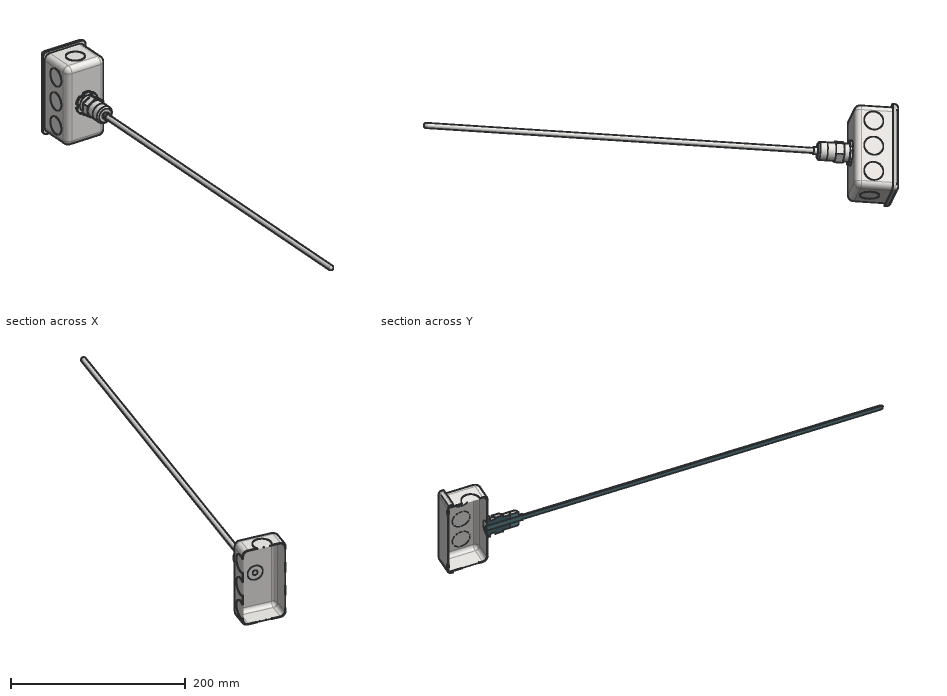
import cadquery as cq
import math

overall_length = 547.83

cover_width = 58.8
cover_height = 106.43
cover_depth = 6.9
cover_thickness = 2.0
cover_end_thickness = 2.35
cover_rise = 0.5
cover_edge_radius = 5.0
screw_hole_diameter = 3.2
screw_hole_offset = 41.7
countersink_diameter = 6.0
countersink_angle = 90

box_width = cover_width - 2 * cover_thickness
box_height = cover_height - 2 * cover_end_thickness
box_back = 50.8
box_wall = 2.0
box_edge_radius = 7.3
box_inner_radius = box_edge_radius - box_wall

knockout_diameter = 22.2
knockout_depth = 0.6
knockout_spacing = 31.0
knockout_x = 29.0

neck_radius = 9.5
flange_thickness = 2.8
flange_radius = 14.5
flange_root_radius = 12.7
lug_count = 6
notch_width = 5.0
body_radius = 10.6
body_length = 6.5
hex_across_flats = 22.4
hex_length = 9.6
rear_body_length = 9.6

nut_length = 10.4
nut_chamfer = 2.0

collar_radius = 4.3
collar_length = 4.7
probe_radius = 6.35 / 2

box_inner_back = box_back - box_wall
flange_start = box_back
flange_end = flange_start + flange_thickness
hex_start = flange_end + body_length
hex_end = hex_start + hex_length
nut_start = hex_end + rear_body_length
nut_end = nut_start + nut_length
collar_end = nut_end + collar_length


def block(x_start, x_end, width, height):
    """A rectangular block centred on the axis."""
    return cq.Workplane("XY").box(x_end - x_start, width, height).translate(((x_start + x_end) / 2, 0, 0))


def cylinder(x_start, x_end, radius):
    """A round bar on the axis, turned from its half profile."""
    profile = cq.Workplane("XY").moveTo(x_start, 0).lineTo(x_start, -radius).lineTo(x_end, -radius)
    return profile.lineTo(x_end, 0).close().revolve(360, (0, 0, 0), (1, 0, 0))


def make_cover():
    """A rounded cap with two countersunk screw holes and a recess that takes the box's open end."""
    shell = block(0, cover_depth, cover_width, cover_height)
    shell = shell.edges("|X or <X").fillet(cover_edge_radius)
    cavity = block(cover_thickness, cover_depth, box_width, box_height).edges("|X").fillet(box_edge_radius)
    cavity = cavity.translate((0, 0, -cover_rise))
    cover = (
        shell.cut(cavity)
        .faces("<X")
        .workplane(origin=(0, 0, 0))
        .pushPoints([(0, -screw_hole_offset), (0, screw_hole_offset)])
        .cskHole(screw_hole_diameter, countersink_diameter, countersink_angle, cover_thickness)
    )
    return cover.translate((0, 0, cover_rise))


def make_box():
    """A rounded hollow box with a neck hole in its back and knockouts in its four sides."""
    shell = block(cover_thickness, box_back, box_width, box_height)
    shell = shell.edges("|X or >X").fillet(box_edge_radius)
    cavity = block(cover_thickness, box_inner_back, box_width - 2 * box_wall, box_height - 2 * box_wall)
    cavity = cavity.edges("|X or >X").fillet(box_inner_radius)
    shell = shell.cut(cavity).cut(cylinder(box_inner_back, box_back, neck_radius))

    knockout = cq.Workplane("XY").circle(knockout_diameter / 2).extrude(knockout_depth)
    side_knockout = knockout.rotate((0, 0, 0), (1, 0, 0), -90)
    for z in (-knockout_spacing, 0, knockout_spacing):
        shell = shell.cut(side_knockout.translate((knockout_x, -box_width / 2, z)))
        shell = shell.cut(side_knockout.translate((knockout_x, box_width / 2 - knockout_depth, z)))
    shell = shell.cut(knockout.translate((knockout_x, 0, box_height / 2 - knockout_depth)))
    return shell.cut(knockout.translate((knockout_x, 0, -box_height / 2)))


def make_flange():
    """A ring against the back of the box, with notches that leave lugs around its rim."""
    ring = cylinder(flange_start, flange_end, flange_radius)
    notch = block(flange_start, flange_end, notch_width, flange_radius)
    notch = notch.translate((0, 0, flange_root_radius + flange_radius / 2))
    for i in range(lug_count):
        ring = ring.cut(notch.rotate((0, 0, 0), (1, 0, 0), (i + 0.5) * 360 / lug_count))
    return ring


def make_connector():
    """The neck, lugged flange, body and hexagon, bored for the probe."""
    hexagon = (
        cq.Workplane("YZ", origin=(hex_start, 0, 0))
        .transformed(rotate=(0, 0, 90))
        .polygon(6, hex_across_flats / math.cos(math.pi / 6))
        .extrude(hex_length)
    )
    return (
        cylinder(box_inner_back, flange_start, neck_radius)
        .union(make_flange())
        .union(cylinder(flange_end, hex_start, body_radius))
        .union(hexagon)
        .union(cylinder(hex_end, nut_start, body_radius))
        .cut(cylinder(box_inner_back, nut_start, probe_radius))
    )


def make_nut():
    """The round nut that closes the connector."""
    nut = cylinder(nut_start, nut_end, body_radius).faces(">X").edges().chamfer(nut_chamfer)
    return nut.cut(cylinder(nut_start, nut_end, probe_radius))


def make_probe():
    """The rod from inside the box to its rounded tip, turned together with its collar."""
    tip_start = overall_length - probe_radius
    arc_offset = probe_radius * math.sin(math.pi / 4)
    return (
        cq.Workplane("XY")
        .moveTo(box_inner_back, 0)
        .lineTo(box_inner_back, -probe_radius)
        .lineTo(nut_end, -probe_radius)
        .lineTo(nut_end, -collar_radius)
        .lineTo(collar_end, -collar_radius)
        .lineTo(collar_end, -probe_radius)
        .lineTo(tip_start, -probe_radius)
        .threePointArc((tip_start + arc_offset, -arc_offset), (overall_length, 0))
        .close()
        .revolve(360, (0, 0, 0), (1, 0, 0))
    )


cover = make_cover()
box = make_box()
connector = make_connector()
nut = make_nut()
probe = make_probe()

result = cq.Compound.makeCompound([cover.val(), box.val(), connector.val(), nut.val(), probe.val()])